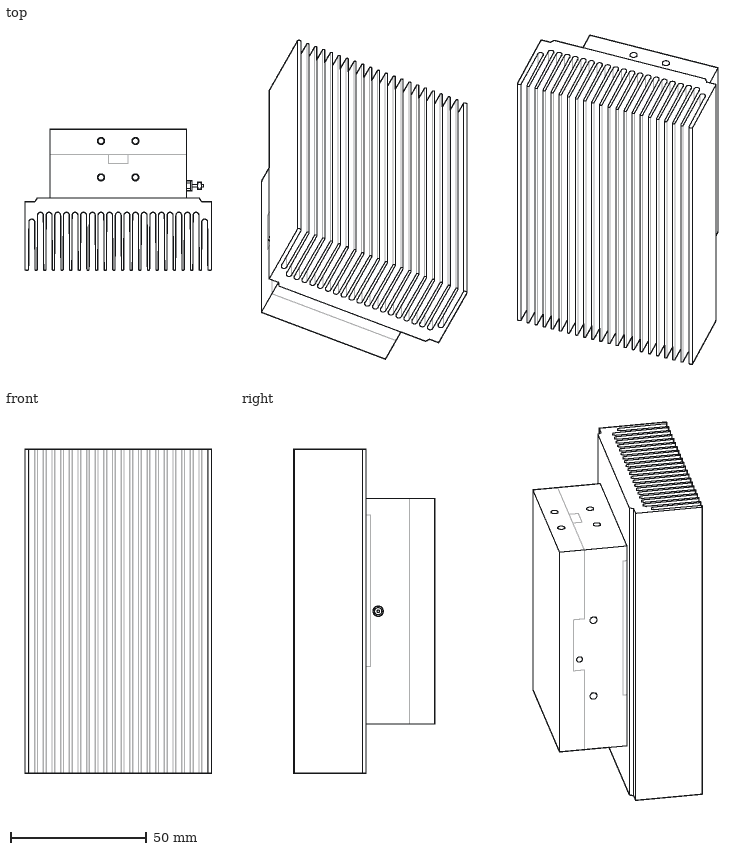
import cadquery as cq
import math


sink_width = 69.1
sink_length = 119.9
base_back = 26.9
ear_back = 25.4
ledge_half_width = 29.9
ledge_chamfer_x = 1.0
fin_gap_count = 21
outer_fin_width = 1.4
gap_root_width = 2.0
gap_mouth_width = 2.3
fin_pitch = (sink_width - 2 * outer_fin_width - gap_mouth_width) / (fin_gap_count - 1)
gap_root = 21.5
outer_gap_root = 19.0
fin_tip_bulge = 0.4

body_width = 50.6
body_height = 83.5
cover_front = 42.9
body_back = 52.3

tongue_back = 47.0
tongue_bottom = -8.4
tongue_top = 13.0

key_width = 7.1
key_front = 39.5

insert_back = 28.4
insert_bottom = -20.4
insert_top = 35.6

inlay_depth = 3.6

screw_diameter = 2.6
screw_pilot_diameter = 2.2
small_diameter = 2.2
small_pilot_diameter = 1.5
thread_depth = 4.8
pilot_depth = 6.0
drill_tip_angle = 118
top_hole_x = 6.4
top_hole_rows = (34.4, 47.9)
side_hole_y = 39.5
side_hole_heights = (-19.7, 12.0)
small_hole_y = 44.7
small_hole_z = -3.8

pin_y = 31.3
pin_z = 0.0
nut_across_corners = 3.8
nut_length = 1.4
pin_steps = ((3.8, 0.6), (1.0, 2.0), (2.6, 1.3), (1.0, 0.8))


def box_between(x0, x1, y0, y1, z0, z1):
    """Box spanning the given limits."""
    size = (x1 - x0, y1 - y0, z1 - z0)
    return cq.Workplane("XY").box(*size, centered=False).translate((x0, y0, z0))


def add_fin_tip(outline, left, right):
    """Continue the outline around the rounded tip of the fin from left to right."""
    return outline.threePointArc(((left + right) / 2, 0), (right, fin_tip_bulge))


def add_fin_gap(outline, x, root):
    """Continue the outline through a tapered fin gap with a full round root, centered at x."""
    root_radius = gap_root_width / 2
    return (
        outline.lineTo(x - root_radius, root - root_radius)
        .threePointArc((x, root), (x + root_radius, root - root_radius))
        .lineTo(x + gap_mouth_width / 2, fin_tip_bulge)
    )


def make_heat_sink():
    half = sink_width / 2
    chamfer_end = ledge_half_width + ledge_chamfer_x
    middle = (fin_gap_count - 1) / 2
    outline = cq.Workplane("XY", origin=(0, 0, -sink_length / 2)).moveTo(-half, fin_tip_bulge)
    fin_left = -half
    for i in range(fin_gap_count):
        is_outer = i in (0, fin_gap_count - 1)
        root = outer_gap_root if is_outer else gap_root
        gap_x = (i - middle) * fin_pitch
        outline = add_fin_tip(outline, fin_left, gap_x - gap_mouth_width / 2)
        outline = add_fin_gap(outline, gap_x, root)
        fin_left = gap_x + gap_mouth_width / 2
    return (
        add_fin_tip(outline, fin_left, half)
        .lineTo(half, ear_back)
        .lineTo(chamfer_end, ear_back)
        .lineTo(ledge_half_width, base_back)
        .lineTo(-ledge_half_width, base_back)
        .lineTo(-chamfer_end, ear_back)
        .lineTo(-half, ear_back)
        .close()
        .extrude(sink_length)
    )


def make_body():
    """Housing, cover, key and insert, with the joint lines kept on the shared surface."""
    x = body_width / 2
    z = body_height / 2
    tongue = box_between(-x, -x + inlay_depth, cover_front, tongue_back, tongue_bottom, tongue_top)
    key = box_between(-key_width / 2, key_width / 2, key_front, cover_front, z - inlay_depth, z)
    insert = box_between(-x, x, base_back, insert_back, insert_bottom, insert_top)
    housing = box_between(-x, x, base_back, cover_front, -z, z).cut(key).cut(insert).union(tongue)
    cover = box_between(-x, x, cover_front, body_back, -z, z).cut(tongue)
    body = housing
    for piece in (cover, key, insert):
        body = body.union(piece, clean=False)
    return body


def tapped_hole(thread_diameter, pilot_diameter, start, direction, has_drill_tip):
    """Blind tapped hole running from start along direction, flat or with a conical drill tip."""
    start = cq.Vector(*start)
    direction = cq.Vector(*direction)
    pilot_radius = pilot_diameter / 2
    thread = cq.Solid.makeCylinder(thread_diameter / 2, thread_depth, start, direction)
    pilot = cq.Solid.makeCylinder(pilot_radius, pilot_depth, start, direction)
    hole = cq.Workplane(thread).union(cq.Workplane(pilot))
    if has_drill_tip:
        tip_length = pilot_radius / math.tan(math.radians(drill_tip_angle / 2))
        tip = cq.Solid.makeCone(pilot_radius, 0, tip_length, start + direction * pilot_depth, direction)
        hole = hole.union(cq.Workplane(tip))
    return hole


def make_holes():
    side_x = -body_width / 2
    screw_holes = [
        ((x, y, body_height / 2), (0, 0, -1))
        for x in (-top_hole_x, top_hole_x)
        for y in top_hole_rows
    ]
    screw_holes += [((side_x, side_hole_y, z), (1, 0, 0)) for z in side_hole_heights]
    holes = [
        tapped_hole(screw_diameter, screw_pilot_diameter, start, direction, True)
        for start, direction in screw_holes
    ]
    small_start = (side_x, small_hole_y, small_hole_z)
    holes.append(tapped_hole(small_diameter, small_pilot_diameter, small_start, (1, 0, 0), False))
    return holes


def make_pin():
    x = body_width / 2
    pin = cq.Workplane("YZ", origin=(x, pin_y, pin_z)).polygon(6, nut_across_corners).extrude(nut_length)
    x += nut_length
    for diameter, length in pin_steps:
        step = cq.Workplane("YZ", origin=(x, pin_y, pin_z)).circle(diameter / 2).extrude(length)
        pin = pin.union(step)
        x += length
    return pin


result = make_heat_sink().union(make_body(), clean=False).union(make_pin(), clean=False)
for hole in make_holes():
    result = result.cut(hole, clean=False)